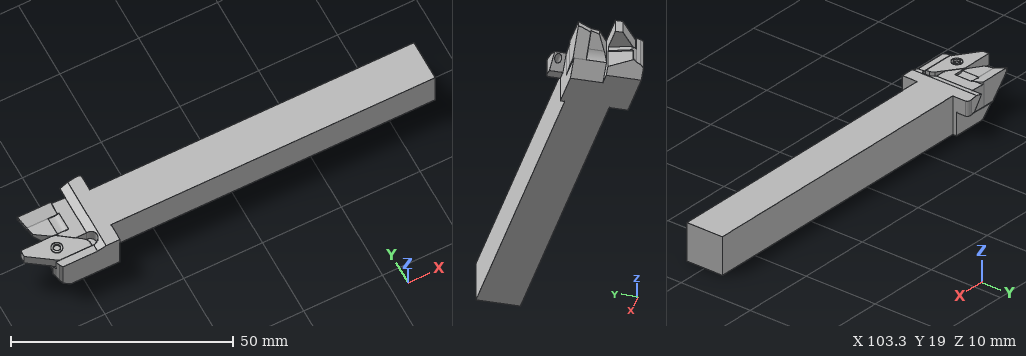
import cadquery as cq

length = 103.3
height = 10.0
overall_width = 19.0

shank_front = 4.3
shank_width = 10.3
head_back = 21.0
flange_face = 15.3
ramp_end = 17.5
seat_height = 9.3
body_width = 15.7
flange_bottom = 6.1
flange_shoulder = 18.4
flange_slope_end = 19.6
flange_round = 0.7
body_start = 11.4

insert_side = 8.2
insert_bottom = 6.4
insert_top = 9.4
insert_front = 1.9
insert_nose = 6.4
slot_radius = 1.8
slot_bottom = 6.4
screw_x = 7.5
screw_y = 5.0
screw_radius = 1.3
socket_radius = 0.8
screw_height = 0.2
socket_depth = 0.5

jaw_width = 15.9
strip_edge = 12.8
floor_height = 9.1
land_bottom = 8.7
groove_start = 9.4
groove_end = 12.2
groove_sag = 0.3
strip_end = 11.8
strip_top = 9.9

chamfer_base = 8.5
rear_chamfer_base = 11.6
chamfer_height = 3.3
channel_top = 5.5

coolant_y = 17.4
coolant_z = 8.3
coolant_diameter = 1.5
coolant_depth = 4.1


def plan(points, bottom, top):
    """Extrude a plan outline between two heights."""
    return cq.Workplane("XY").workplane(offset=bottom).polyline(points).close().extrude(top - bottom)


def side(points, front, back):
    """Extrude an X-Z outline between two Y positions."""
    return cq.Workplane("XZ", origin=(0, front, 0)).polyline(points).close().extrude(front - back)


def block(x0, x1, y0, y1, z0, z1):
    return cq.Workplane("XY").box(x1 - x0, y1 - y0, z1 - z0, centered=False).translate((x0, y0, z0))


def make_flange():
    lower = block(flange_face, head_back, 0, body_width, 0, height)
    upper = plan([
        (flange_face, 0),
        (head_back, 0),
        (head_back, overall_width),
        (flange_slope_end, overall_width),
        (flange_face, flange_shoulder),
    ], flange_bottom, height)
    upper = upper.edges("|Z and >X and >Y").fillet(flange_round)
    ramp = side([
        (flange_face, seat_height),
        (ramp_end, height),
        (flange_face, height),
    ], 0, overall_width)
    overhang_relief = side([
        (flange_face, flange_bottom),
        (flange_face + seat_height - flange_bottom, flange_bottom),
        (flange_face, seat_height),
    ], body_width, overall_width)
    coolant_hole = (
        cq.Workplane("YZ", origin=(flange_face, coolant_y, coolant_z))
        .circle(coolant_diameter / 2)
        .extrude(coolant_depth)
    )
    return lower.union(upper).cut(ramp).cut(overhang_relief).cut(coolant_hole)


def make_rear_jaw():
    outline = [
        (3.2, jaw_width),
        (4.0, strip_edge),
        (4.4, 10.7),
        (8.6, 8.0),
        (flange_face, 3.3),
        (flange_face, body_width),
        (body_start, jaw_width),
    ]
    jaw = plan(outline, 0, height)
    outer_relief = side([
        (0, 0),
        (rear_chamfer_base, 0),
        (rear_chamfer_base - chamfer_height, chamfer_height),
        (3.4, land_bottom),
        (0, land_bottom),
    ], strip_edge, jaw_width)
    inner_relief = (
        cq.Workplane("XZ")
        .moveTo(0, 0)
        .lineTo(rear_chamfer_base, 0)
        .lineTo(rear_chamfer_base - chamfer_height, chamfer_height)
        .threePointArc((8.0, 4.2), (7.0, channel_top))
        .lineTo(3.8, land_bottom)
        .lineTo(0, land_bottom)
        .close()
        .extrude(-strip_edge)
    )
    narrowing = block(0, flange_face, body_width, jaw_width, 0, chamfer_height)
    seat = block(0, flange_face, 0, jaw_width, seat_height, height)
    strip = block(0, strip_end, strip_edge, jaw_width, floor_height, height).cut(
        cq.Workplane("YZ")
        .polyline([(strip_edge, floor_height), (jaw_width, floor_height), (jaw_width, strip_top)])
        .close()
        .extrude(strip_end)
    )
    seat = seat.cut(block(0, strip_end, strip_edge, jaw_width, seat_height, height))
    floor = (
        cq.Workplane("XZ", origin=(0, insert_side, 0))
        .moveTo(0, floor_height)
        .lineTo(groove_start, floor_height)
        .threePointArc(
            ((groove_start + groove_end) / 2, floor_height - groove_sag),
            (groove_end, seat_height),
        )
        .lineTo(groove_end, height)
        .lineTo(0, height)
        .close()
        .extrude(insert_side - strip_edge)
    )
    for cutter in (outer_relief, inner_relief, narrowing, seat, strip, floor):
        jaw = jaw.cut(cutter)
    return jaw


def make_front_jaw():
    recess = plan([
        (0, insert_side),
        (7.0, insert_side),
        (5.4, 2.7),
        (0, 2.7),
    ], 0, channel_top)
    support = plan([
        (6.6, insert_side),
        (5.0, 3.1),
        (5.7, insert_front),
        (6.0, 0.8),
        (6.5, 0),
        (flange_face, 0),
        (flange_face, insert_side),
    ], 0, insert_bottom)
    relief = side([
        (0, 0),
        (chamfer_base, 0),
        (chamfer_base - chamfer_height, chamfer_height),
        (5.0, channel_top),
        (0, channel_top),
    ], 0, insert_side)
    cheek = plan([
        (5.7, insert_front),
        (6.0, 0.8),
        (6.5, 0),
        (flange_face, 0),
        (flange_face, insert_front),
    ], insert_bottom, seat_height)
    return support.union(cheek).cut(relief).cut(recess)


def make_insert():
    insert = plan([
        (0, insert_side),
        (0, insert_nose),
        (6.5, insert_front),
        (14.9, insert_front),
        (14.9, 3.0),
        (14.3, 4.0),
        (8.6, insert_side),
    ], insert_bottom, insert_top)
    screw = (
        cq.Workplane("XY", origin=(screw_x, screw_y, insert_bottom))
        .circle(screw_radius)
        .extrude(insert_top + screw_height - insert_bottom)
    )
    socket = (
        cq.Workplane("XY", origin=(screw_x, screw_y, insert_top + screw_height))
        .circle(socket_radius)
        .extrude(-socket_depth)
    )
    return insert.union(screw).cut(socket)


def make_slot():
    """Round-ended clearance behind the insert."""
    centre_y = insert_front + slot_radius
    slot = block(body_start, flange_face, insert_front, centre_y + slot_radius, slot_bottom, height)
    end = (
        cq.Workplane("XY", origin=(flange_face, centre_y, slot_bottom))
        .circle(slot_radius)
        .extrude(height - slot_bottom)
    )
    return slot.union(end)


shank = block(head_back, length, shank_front, shank_front + shank_width, 0, height)
holder = shank.union(make_flange()).union(make_rear_jaw()).union(make_front_jaw())
result = holder.cut(make_slot()).union(make_insert())